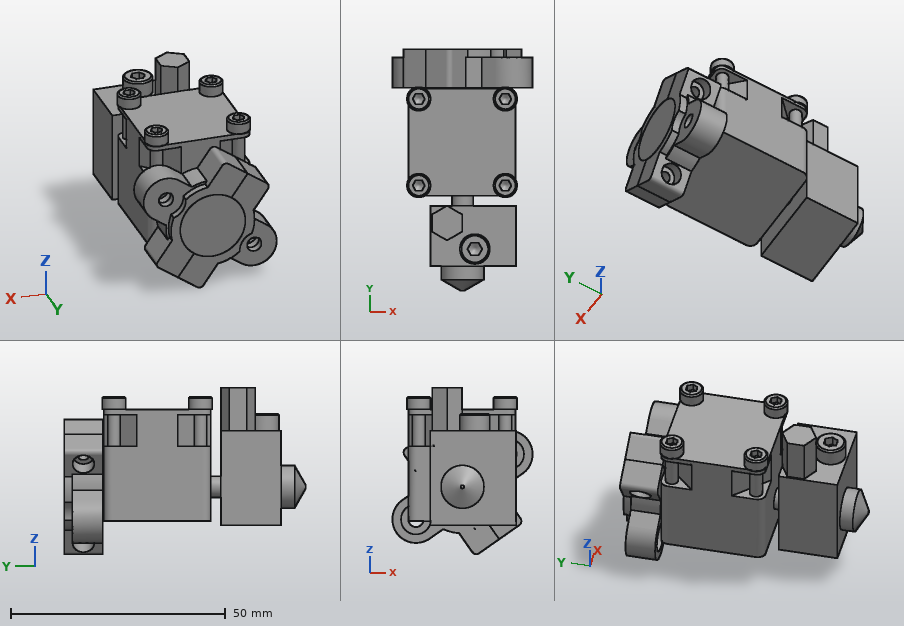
import cadquery as cq
import math


CLAMP_TILT = 35.0
CLAMP_DEPTH = 9.0
ARM_HALF_WIDTH = 6.85
ARM_REACH = 14.9
ARM_FILLET = 1.1
EAR_DISTANCE = 13.2
EAR_RADIUS = 5.5
EAR_HOLE_DIA = 3.5
EAR_COUNTERBORE_DIA = 7.0
EAR_FLOOR = 2.0
BACK_DEPTH = 1.9
FRONT_DEPTH = CLAMP_DEPTH - BACK_DEPTH
BOSS_FRONT_RADIUS = 10.85
BOSS_BACK_RADIUS = 10.25
EAR_RELIEF_RADIUS = 4.2
CLAMP_SCREW_OFFSET = 11.25
CLAMP_SCREW_DIA = 2.7
CLAMP_SCREW_HEAD_DIA = 5.0
CLAMP_SCREW_HEAD_DEPTH = 3.6

SPIGOT_NECK_DIA = 12.0
SPIGOT_HEAD_DIA = 16.0
SPIGOT_HEAD_DEPTH = 3.0

COOLER_GAP = 0.15
COOLER_SIZE = 25.0
COOLER_CENTER_X = -0.1
COOLER_BOTTOM = -8.0
COOLER_TOP = 18.0
COOLER_CORNER_RADIUS = 1.9
POCKET_BOTTOM = 9.4
POCKET_TOP = 16.8
POCKET_LEG = 7.7
COOLER_FRONT = -COOLER_GAP - COOLER_SIZE
COOLER_CENTER_Y = -COOLER_GAP - COOLER_SIZE / 2
COVER_SCREW_SPACING = 20.15
COVER_SCREW_DIA = 3.0
COVER_SCREW_HEAD_DIA = 5.5
COVER_SCREW_HEAD_HEIGHT = 3.0
COVER_SCREW_SOCKET = 2.5

TUBE_DIA = 5.0
TUBE_LENGTH = 2.3
HEATER_LEFT = -7.5
HEATER_RIGHT = 12.5
HEATER_BOTTOM = -9.0
HEATER_TOP = 13.05
HEATER_DEPTH = 14.05
HEATER_BACK = COOLER_FRONT - TUBE_LENGTH
HEATER_FRONT = HEATER_BACK - HEATER_DEPTH
POST_ACROSS_FLATS = 7.0
POST_CORNER_DIA = POST_ACROSS_FLATS / math.cos(math.pi / 6)
POST_HEIGHT = 10.0
POST_X = -3.6
POST_Y = HEATER_BACK - POST_CORNER_DIA / 2
HEATER_SCREW_X = 2.85
HEATER_SCREW_INSET = 4.0
HEATER_SCREW_Y = HEATER_FRONT + HEATER_SCREW_INSET
HEATER_SCREW_HEAD_DIA = 7.0
HEATER_SCREW_HEAD_HEIGHT = 4.0
HEATER_SCREW_SOCKET = 3.0

NOZZLE_DIA = 10.0
NOZZLE_TIP_DIA = 0.8
NOZZLE_CYLINDER_LENGTH = 3.1
OVERALL_LENGTH = 56.3
NOZZLE_TIP_Y = CLAMP_DEPTH - OVERALL_LENGTH

HEAD_EDGE_CHAMFER = 0.4
SOCKET_DEPTH_RATIO = 0.5
SOCKET_CONE_ANGLE = 31.0


def box_between(x0, x1, y0, y1, z0, z1):
    return cq.Workplane("XY").box(x1 - x0, y1 - y0, z1 - z0, centered=False).translate((x0, y0, z0))


def rod_along_y(diameter, y_front, y_back):
    """Cylinder on the nozzle axis."""
    return cq.Workplane("XZ", origin=(0, y_back, 0)).circle(diameter / 2).extrude(y_back - y_front)


def screw_head(x, y, z, diameter, height, socket):
    """Socket screw head standing on height z."""
    head = cq.Workplane("XY").circle(diameter / 2).extrude(height)
    head = head.faces(">Z").edges().chamfer(HEAD_EDGE_CHAMFER)
    floor = height * (1 - SOCKET_DEPTH_RATIO)
    corner_dia = socket / math.cos(math.pi / 6)
    hexagon = cq.Workplane("XY", origin=(0, 0, floor)).polygon(6, corner_dia).extrude(height)
    cone_depth = corner_dia / 2 * math.tan(math.radians(SOCKET_CONE_ANGLE))
    cone_base = cq.Vector(0, 0, floor)
    downward = cq.Vector(0, 0, -1)
    cone = cq.Workplane(cq.Solid.makeCone(corner_dia / 2, 0, cone_depth, pnt=cone_base, dir=downward))
    cone = cone.intersect(cq.Workplane("XY").polygon(6, corner_dia).extrude(height))
    return head.cut(hexagon).cut(cone).translate((x, y, z))


def cooling_block():
    """Rounded block with an open pocket under the cover at each corner, bridged by a screw."""
    block = (
        cq.Workplane("XY", origin=(COOLER_CENTER_X, COOLER_CENTER_Y, COOLER_BOTTOM))
        .rect(COOLER_SIZE, COOLER_SIZE)
        .extrude(COOLER_TOP - COOLER_BOTTOM)
        .edges("|Z")
        .fillet(COOLER_CORNER_RADIUS)
    )
    for side_x in (-1, 1):
        for side_y in (-1, 1):
            corner_x = COOLER_CENTER_X + side_x * COOLER_SIZE / 2
            corner_y = COOLER_CENTER_Y + side_y * COOLER_SIZE / 2
            pocket = (
                cq.Workplane("XY", origin=(0, 0, POCKET_BOTTOM))
                .moveTo(corner_x, corner_y)
                .lineTo(corner_x - side_x * POCKET_LEG, corner_y)
                .lineTo(corner_x, corner_y - side_y * POCKET_LEG)
                .close()
                .extrude(POCKET_TOP - POCKET_BOTTOM)
            )
            screw_x = COOLER_CENTER_X + side_x * COVER_SCREW_SPACING / 2
            screw_y = COOLER_CENTER_Y + side_y * COVER_SCREW_SPACING / 2
            shank = (
                cq.Workplane("XY", origin=(screw_x, screw_y, POCKET_BOTTOM))
                .circle(COVER_SCREW_DIA / 2)
                .extrude(POCKET_TOP - POCKET_BOTTOM)
            )
            head = screw_head(
                screw_x,
                screw_y,
                COOLER_TOP,
                COVER_SCREW_HEAD_DIA,
                COVER_SCREW_HEAD_HEIGHT,
                COVER_SCREW_SOCKET,
            )
            block = block.cut(pocket).union(shank).union(head)
    return block


def heater_block():
    """Block with a hexagonal post and a clamping screw on top."""
    block = box_between(HEATER_LEFT, HEATER_RIGHT, HEATER_FRONT, HEATER_BACK, HEATER_BOTTOM, HEATER_TOP)
    post = (
        cq.Workplane("XY")
        .polygon(6, POST_CORNER_DIA)
        .extrude(POST_HEIGHT)
        .rotate((0, 0, 0), (0, 0, 1), 90)
        .translate((POST_X, POST_Y, HEATER_TOP))
    )
    screw = screw_head(
        HEATER_SCREW_X,
        HEATER_SCREW_Y,
        HEATER_TOP,
        HEATER_SCREW_HEAD_DIA,
        HEATER_SCREW_HEAD_HEIGHT,
        HEATER_SCREW_SOCKET,
    )
    return block.union(post).union(screw)


def nozzle():
    """Cylinder with a conical end and a small flat tip."""
    cone_start = HEATER_FRONT - NOZZLE_CYLINDER_LENGTH
    return (
        cq.Workplane("XY")
        .moveTo(0, HEATER_FRONT)
        .lineTo(NOZZLE_DIA / 2, HEATER_FRONT)
        .lineTo(NOZZLE_DIA / 2, cone_start)
        .lineTo(NOZZLE_TIP_DIA / 2, NOZZLE_TIP_Y)
        .lineTo(0, NOZZLE_TIP_Y)
        .close()
        .revolve(360, (0, 0, 0), (0, 1, 0))
    )


def spigot(y_front):
    """Grooved mount: a neck with a wider head, the head flush with the back of the clamp."""
    neck = rod_along_y(SPIGOT_NECK_DIA, y_front, CLAMP_DEPTH)
    head = rod_along_y(SPIGOT_HEAD_DIA, CLAMP_DEPTH - SPIGOT_HEAD_DEPTH, CLAMP_DEPTH)
    return neck.union(head)


def make_hot_end():
    tube = rod_along_y(TUBE_DIA, HEATER_BACK, COOLER_FRONT)
    return cooling_block().union(spigot(-COOLER_GAP)).union(tube).union(heater_block()).union(nozzle())


def make_clamp_half():
    """Half with its ear on +X, before tilting; the split plane is X = 0 and the arms run along Z."""
    arms = box_between(0, ARM_HALF_WIDTH, 0, CLAMP_DEPTH, -ARM_REACH, ARM_REACH)
    arms = arms.edges("|Y and >X").fillet(ARM_FILLET)

    ear = box_between(0, EAR_DISTANCE, 0, FRONT_DEPTH, -EAR_RADIUS, EAR_RADIUS)
    ear_end = rod_along_y(2 * EAR_RADIUS, 0, FRONT_DEPTH).translate((EAR_DISTANCE, 0, 0))
    boss_back = rod_along_y(2 * BOSS_BACK_RADIUS, FRONT_DEPTH, CLAMP_DEPTH)
    relief = rod_along_y(2 * EAR_RELIEF_RADIUS, FRONT_DEPTH, CLAMP_DEPTH).translate((EAR_DISTANCE, 0, 0))
    boss_front = rod_along_y(2 * BOSS_FRONT_RADIUS, 0, FRONT_DEPTH)
    half = arms.union(boss_front).union(boss_back.cut(relief)).union(ear).union(ear_end)

    ear_hole = rod_along_y(EAR_HOLE_DIA, 0, FRONT_DEPTH)
    ear_counterbore = rod_along_y(EAR_COUNTERBORE_DIA, 0, FRONT_DEPTH - EAR_FLOOR)
    half = half.cut(ear_hole.union(ear_counterbore).translate((EAR_DISTANCE, 0, 0)))

    positive_side = box_between(0, 2 * EAR_DISTANCE, 0, CLAMP_DEPTH, -2 * ARM_REACH, 2 * ARM_REACH)
    return half.intersect(positive_side).cut(spigot(0))


def cut_clamp_screws(half):
    """Counterbored screw hole through each arm."""
    for offset in (-CLAMP_SCREW_OFFSET, CLAMP_SCREW_OFFSET):
        axis = cq.Workplane("YZ").center(CLAMP_DEPTH / 2, offset)
        hole = axis.circle(CLAMP_SCREW_DIA / 2).extrude(ARM_HALF_WIDTH)
        head_seat = (
            axis.workplane(offset=ARM_HALF_WIDTH - CLAMP_SCREW_HEAD_DEPTH)
            .circle(CLAMP_SCREW_HEAD_DIA / 2)
            .extrude(CLAMP_SCREW_HEAD_DEPTH)
        )
        half = half.cut(hole).cut(head_seat)
    return half


def turn_about_nozzle(half, angle):
    """Turn from +X towards +Z."""
    return half.rotate((0, 0, 0), (0, 1, 0), -angle)


hot_end = make_hot_end()
right_half = turn_about_nozzle(make_clamp_half(), CLAMP_TILT)
left_half = turn_about_nozzle(cut_clamp_screws(make_clamp_half()), CLAMP_TILT + 180)

result = cq.Compound.makeCompound([hot_end.val(), right_half.val(), left_half.val()])